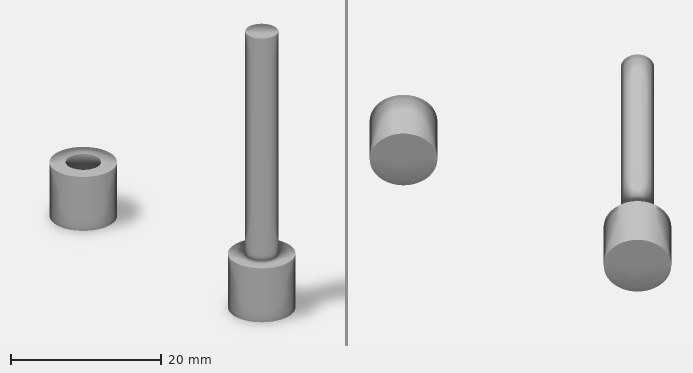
import cadquery as cq

overall_length_x = 43.25
overall_width_y = 20.63
overall_height = 41.0
body_diameter = 9.0
body_height = 8.0
pin_diameter = 4.4
socket_diameter = 4.7
socket_depth = 6.0

pin_center_x = overall_length_x - body_diameter
pin_center_y = overall_width_y - body_diameter
pin_length = overall_height - body_height


def make_cap():
    """Short cylinder with a blind round socket in its top face."""
    return (
        cq.Workplane("XY")
        .circle(body_diameter / 2)
        .extrude(body_height)
        .faces(">Z")
        .workplane()
        .hole(socket_diameter, socket_depth)
    )


def make_headed_pin():
    """Long round pin standing on a cylindrical head of the cap's size."""
    return (
        cq.Workplane("XY")
        .center(pin_center_x, pin_center_y)
        .circle(body_diameter / 2)
        .extrude(body_height)
        .faces(">Z")
        .workplane()
        .circle(pin_diameter / 2)
        .extrude(pin_length)
    )


cap = make_cap()
headed_pin = make_headed_pin()

result = cq.Compound.makeCompound([cap.val(), headed_pin.val()])